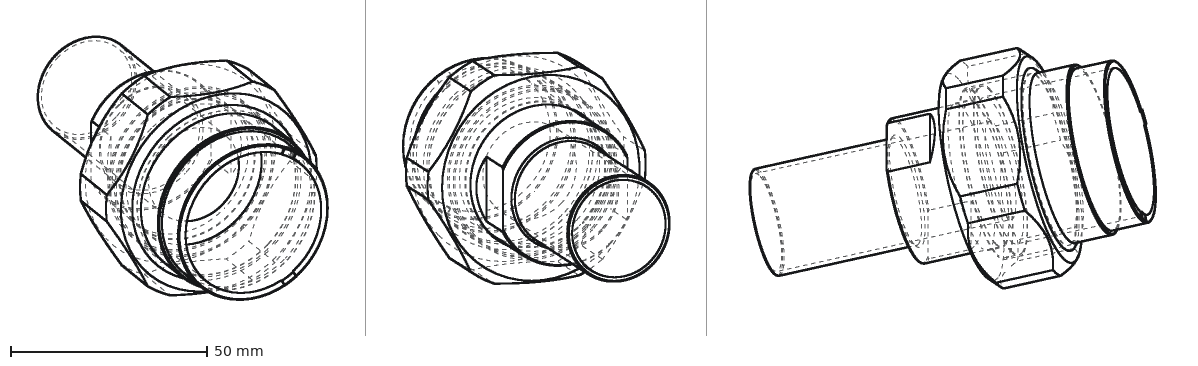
import cadquery as cq
import math


bore_d = 25.6
tube_d = 28.0
collar_d = 38.0
flange_d = 44.0
edge_chamfer = 0.3
collar_x = 37.8
tube_fillet_size = 0.7
flats_width = 34.0
flats_end_x = 49.4

nut_x = 55.0
nut_length = 21.0
nut_across_flats = 55.0
nut_corner_d = 59.7
nut_face_d = 54.0
nut_bore_d = 38.5
nut_cavity_d = 44.9
nut_lip = 3.9
nut_end_x = nut_x + nut_length
lip_end_x = nut_x + nut_lip

flange_thickness = 3.9
joint_x = lip_end_x + flange_thickness
cone_x = nut_end_x + 0.2
cone_d = 47.8
body_d = 44.5
cone_length = (cone_d - body_d) / 2
body_end_x = 88.0
pipe_d = 42.4
pipe_bore_d = 38.4
total_length = 98.0
pad_height = 0.3
pipe_end_x = total_length - pad_height

pad_inner_d = pipe_bore_d
pad_outer_d = 41.7
pad_length = 3.7
pad_angles = (-60, 60)


def revolve_about_x(profile):
    """Turn a closed (x, radius) outline about the X axis."""
    return cq.Workplane("XY").polyline(profile).close().revolve(360, (0, 0, 0), (1, 0, 0))


def cylinder_x(diameter, start_x, end_x):
    return cq.Workplane("YZ", origin=(start_x, 0, 0)).circle(diameter / 2).extrude(end_x - start_x)


def make_wrench_flat_cutter():
    """Wedge-ended cutter that leaves a flat on the +Y side of the collar."""
    flat_y = flats_width / 2
    clear_y = collar_d / 2 + 1
    ramp_end_x = flats_end_x + clear_y - flat_y
    start_x = collar_x - 1
    outline = [(start_x, flat_y), (flats_end_x, flat_y), (ramp_end_x, clear_y), (start_x, clear_y)]
    return cq.Workplane("XY").polyline(outline).close().extrude(collar_d / 2, both=True)


def make_tailpiece():
    tube_r = tube_d / 2
    collar_r = collar_d / 2
    body = revolve_about_x([
        (0, bore_d / 2),
        (0, tube_r - edge_chamfer),
        (edge_chamfer, tube_r),
        (collar_x - tube_fillet_size, tube_r),
        (collar_x, tube_r + tube_fillet_size),
        (collar_x, collar_r - edge_chamfer),
        (collar_x + edge_chamfer, collar_r),
        (lip_end_x, collar_r),
        (lip_end_x, flange_d / 2),
        (joint_x, flange_d / 2),
        (joint_x, bore_d / 2),
    ])
    cutter = make_wrench_flat_cutter()
    return body.cut(cutter).cut(cutter.mirror("XZ"))


def make_nut():
    hexagon = (
        cq.Workplane("YZ", origin=(nut_x, 0, 0))
        .polygon(6, nut_across_flats / math.cos(math.pi / 6))
        .extrude(nut_length)
    )
    bevel = (nut_corner_d - nut_face_d) / 2
    blank = cylinder_x(nut_corner_d, nut_x, nut_end_x).faces("<X or >X").chamfer(bevel)
    lip_bore = cylinder_x(nut_bore_d, nut_x, lip_end_x)
    cavity = cylinder_x(nut_cavity_d, lip_end_x, nut_end_x)
    return hexagon.intersect(blank).cut(lip_bore).cut(cavity)


def make_end_pad(angle):
    """Short raised arc on the end face, between two concentric circles."""
    ring = (
        cq.Workplane("YZ", origin=(pipe_end_x, 0, 0))
        .circle(pad_outer_d / 2)
        .circle(pad_inner_d / 2)
        .extrude(pad_height)
    )
    sector = cq.Workplane("XY").box(
        pad_height, pad_outer_d, pad_length, centered=(False, False, True)
    ).translate((pipe_end_x, 0, 0))
    return ring.intersect(sector).rotate((0, 0, 0), (1, 0, 0), angle)


def make_pipe_end():
    body = revolve_about_x([
        (joint_x, pipe_bore_d / 2),
        (joint_x, nut_cavity_d / 2),
        (cone_x, nut_cavity_d / 2),
        (cone_x, cone_d / 2),
        (cone_x + cone_length, body_d / 2),
        (body_end_x - edge_chamfer, body_d / 2),
        (body_end_x, body_d / 2 - edge_chamfer),
        (body_end_x, pipe_d / 2),
        (pipe_end_x - edge_chamfer, pipe_d / 2),
        (pipe_end_x, pipe_d / 2 - edge_chamfer),
        (pipe_end_x, pipe_bore_d / 2),
    ])
    for angle in pad_angles:
        body = body.union(make_end_pad(angle))
    return body


tailpiece = make_tailpiece()
nut = make_nut()
pipe_end = make_pipe_end()

result = cq.Compound.makeCompound([
    tailpiece.solids().val(),
    nut.solids().val(),
    pipe_end.solids().val(),
])